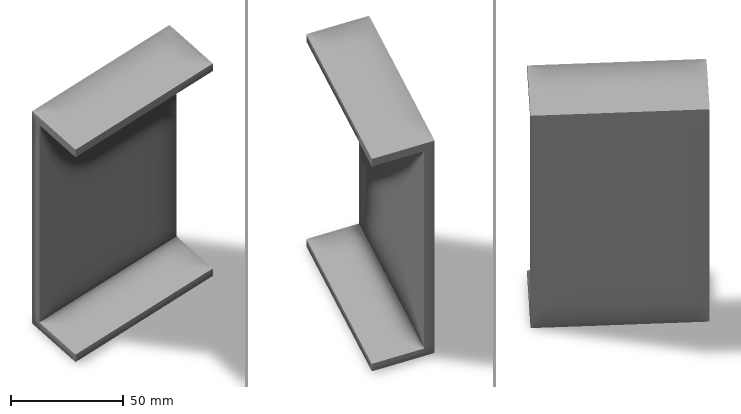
import cadquery as cq

height = 142.5
flange_width = 30.0
length = 80.0
wall = 5.0

block = cq.Workplane("XY").box(flange_width, length, height)

opening = (
    cq.Workplane("XY")
    .box(flange_width - wall, length, height - 2 * wall)
    .translate((wall / 2, 0, 0))
)

result = block.cut(opening)